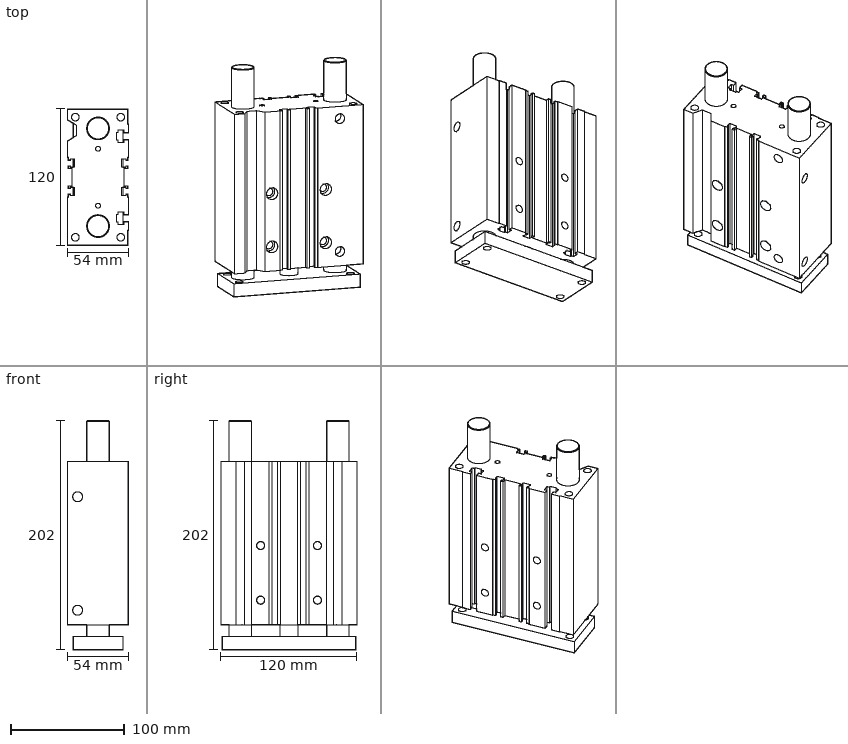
import cadquery as cq

TOTAL_HEIGHT = 202.0
PLATE_THICKNESS = 12.0
HOUSING_BOTTOM = 22.0
HOUSING_HEIGHT = 144.0
HOUSING_TOP = HOUSING_BOTTOM + HOUSING_HEIGHT

HOUSING_WIDTH = 54.0
HOUSING_LENGTH = 120.0
PAD_X = HOUSING_WIDTH / 2
END_Y = HOUSING_LENGTH / 2
RELIEF_DEPTH = 0.6
RELIEF_X = PAD_X - RELIEF_DEPTH
PAD_INNER_Y = 17.5
PAD_OUTER_Y = 46.9

RECESS_HALF_WIDTH = 7.7
RECESS_FLOOR_X = 23.0

SENSOR_SLOT_Y = 12.5
SENSOR_MOUTH_WIDTH = 4.8
SENSOR_CHAMBER_WIDTH = 7.0
SENSOR_LIP_X = 24.5
SENSOR_FLOOR_X = 20.8

T_SLOT_Y = 36.2
T_MOUTH_WIDTH = 6.0
T_HEAD_WIDTH = 11.0
T_LIP_X = 22.8
T_FLOOR_X = 17.5
T_GROOVE_WIDTH = 6.3
T_GROOVE_X = 16.2

GROOVE_Y = 41.2
GROOVE_MOUTH_WIDTH = 18.5
GROOVE_FLOOR_WIDTH = 8.9
GROOVE_DEPTH = 8.0

ROD_DIAMETER = 20.0
ROD_Y = 43.0
ROD_CHAMFER = 0.6
PISTON_DIAMETER = 16.0

CORNER_HOLE_DIAMETER = 6.7
CORNER_HOLE_X = 20.0
CORNER_HOLE_Y = 53.0
CORNER_HOLE_DEPTH = 16.2
SMALL_HOLE_DIAMETER = 4.2
SMALL_HOLE_Y = 25.0
SMALL_HOLE_DEPTH = 10.0

BOLT_Y = 25.0
BOLT_HEIGHTS = (43.8, 92.0)
BOLT_DIAMETER = 6.9
COUNTERBORE_DIAMETER = 10.5
COUNTERBORE_DEPTH = 8.0

PORT_DIAMETER = 8.7
PORT_DEPTH = 10.0
SIDE_PORT_Y = -38.2
SIDE_PORT_HEIGHTS = (35.0, 155.0)
END_PORT_X = -18.0
END_PORT_HEIGHTS = (35.0, 135.0)

PLATE_WIDTH = 44.0
PLATE_LENGTH = 118.0
PLATE_HOLE_DIAMETER = 6.7
PLATE_HOLE_X = 16.0
PLATE_HOLE_Y = 52.0


def cylinder_up(diameter, bottom, top, points):
    """Vertical cylinders between two heights, one at each (x, y) point."""
    plane = cq.Workplane("XY", origin=(0, 0, bottom))
    return plane.pushPoints(points).circle(diameter / 2).extrude(top - bottom)


def cylinder_from_left(diameter, depth, points):
    """Cylinders running along +X from the -X face, one at each (y, z) point."""
    plane = cq.Workplane("YZ", origin=(-PAD_X, 0, 0))
    return plane.pushPoints(points).circle(diameter / 2).extrude(depth)


def corner_points(x, y):
    return [(-x, -y), (-x, y), (x, -y), (x, y)]


def full_height_cut(x_from, x_to, y_center, width):
    """Rectangular prism over the full housing height, given its X range and its width in Y."""
    center = ((x_from + x_to) / 2, y_center)
    plane = cq.Workplane("XY", origin=(0, 0, HOUSING_BOTTOM))
    return plane.center(*center).rect(abs(x_to - x_from), width).extrude(HOUSING_HEIGHT)


def cut_side_profile(body, side):
    """Relief, recess and two sensor slots on one long side; side is -1 or +1 along X."""
    outer = side * PAD_X
    body = body.cut(full_height_cut(side * RELIEF_X, outer, 0, 2 * PAD_INNER_Y))
    body = body.cut(full_height_cut(side * RECESS_FLOOR_X, outer, 0, 2 * RECESS_HALF_WIDTH))
    for slot_y in (-SENSOR_SLOT_Y, SENSOR_SLOT_Y):
        mouth = full_height_cut(side * SENSOR_LIP_X, outer, slot_y, SENSOR_MOUTH_WIDTH)
        chamber = full_height_cut(
            side * SENSOR_FLOOR_X, side * SENSOR_LIP_X, slot_y, SENSOR_CHAMBER_WIDTH
        )
        body = body.cut(mouth).cut(chamber)
    return body


def cut_t_slots(body):
    """Two T-slots and the relieved end strips on the +X side."""
    strip_width = END_Y - PAD_OUTER_Y
    for end in (-1, 1):
        slot_y = end * T_SLOT_Y
        strip_y = end * (PAD_OUTER_Y + strip_width / 2)
        body = body.cut(full_height_cut(T_LIP_X, PAD_X, slot_y, T_MOUTH_WIDTH))
        body = body.cut(full_height_cut(T_FLOOR_X, T_LIP_X, slot_y, T_HEAD_WIDTH))
        body = body.cut(full_height_cut(T_GROOVE_X, T_FLOOR_X, slot_y, T_GROOVE_WIDTH))
        body = body.cut(full_height_cut(RELIEF_X, PAD_X, strip_y, strip_width))
    return body


def trapezoid_groove():
    floor_x = -PAD_X + GROOVE_DEPTH
    outline = [
        (-PAD_X, GROOVE_Y + GROOVE_MOUTH_WIDTH / 2),
        (floor_x, GROOVE_Y + GROOVE_FLOOR_WIDTH / 2),
        (floor_x, GROOVE_Y - GROOVE_FLOOR_WIDTH / 2),
        (-PAD_X, GROOVE_Y - GROOVE_MOUTH_WIDTH / 2),
    ]
    plane = cq.Workplane("XY", origin=(0, 0, HOUSING_BOTTOM))
    return plane.polyline(outline).close().extrude(HOUSING_HEIGHT)


def cut_top_holes(body):
    """Guide rod bores, four corner holes and two small holes opening on the top face."""
    rod_points = [(0, -ROD_Y), (0, ROD_Y)]
    small_points = [(0, -SMALL_HOLE_Y), (0, SMALL_HOLE_Y)]
    corners = corner_points(CORNER_HOLE_X, CORNER_HOLE_Y)
    corner_bottom = HOUSING_TOP - CORNER_HOLE_DEPTH
    small_bottom = HOUSING_TOP - SMALL_HOLE_DEPTH
    body = body.cut(cylinder_up(ROD_DIAMETER, HOUSING_BOTTOM, HOUSING_TOP, rod_points))
    body = body.cut(cylinder_up(CORNER_HOLE_DIAMETER, corner_bottom, HOUSING_TOP, corners))
    return body.cut(cylinder_up(SMALL_HOLE_DIAMETER, small_bottom, HOUSING_TOP, small_points))


def cut_bolt_holes(body):
    points = [(y, z) for y in (-BOLT_Y, BOLT_Y) for z in BOLT_HEIGHTS]
    body = body.cut(cylinder_from_left(BOLT_DIAMETER, HOUSING_WIDTH, points))
    return body.cut(cylinder_from_left(COUNTERBORE_DIAMETER, COUNTERBORE_DEPTH, points))


def cut_ports(body):
    side_points = [(SIDE_PORT_Y, z) for z in SIDE_PORT_HEIGHTS]
    body = body.cut(cylinder_from_left(PORT_DIAMETER, PORT_DEPTH, side_points))
    end_points = [(END_PORT_X, z) for z in END_PORT_HEIGHTS]
    end_plane = cq.Workplane("XZ", origin=(0, -END_Y, 0))
    end_ports = end_plane.pushPoints(end_points).circle(PORT_DIAMETER / 2).extrude(-PORT_DEPTH)
    return body.cut(end_ports)


def make_housing():
    body = full_height_cut(-PAD_X, PAD_X, 0, HOUSING_LENGTH)
    for side in (-1, 1):
        body = cut_side_profile(body, side)
    body = cut_t_slots(body)
    body = body.cut(trapezoid_groove())
    body = cut_top_holes(body)
    body = cut_bolt_holes(body)
    return cut_ports(body)


def make_carriage():
    """Tool plate with two guide rods and a piston rod that meets the housing underside."""
    plate = cq.Workplane("XY").rect(PLATE_WIDTH, PLATE_LENGTH).extrude(PLATE_THICKNESS)
    holes = corner_points(PLATE_HOLE_X, PLATE_HOLE_Y)
    plate = plate.cut(cylinder_up(PLATE_HOLE_DIAMETER, 0, PLATE_THICKNESS, holes))
    rods = cylinder_up(ROD_DIAMETER, PLATE_THICKNESS, TOTAL_HEIGHT, [(0, -ROD_Y), (0, ROD_Y)])
    rods = rods.faces(">Z").edges().chamfer(ROD_CHAMFER)
    piston = cylinder_up(PISTON_DIAMETER, PLATE_THICKNESS, HOUSING_BOTTOM, [(0, 0)])
    return plate.union(rods).union(piston)


housing = make_housing()
carriage = make_carriage()
result = cq.Compound.makeCompound([housing.val(), carriage.val()])